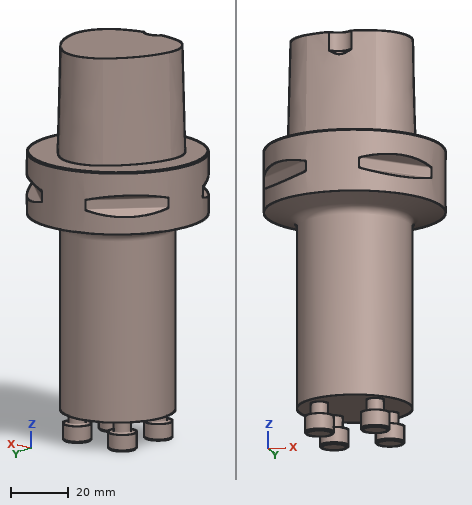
import cadquery as cq
import math


shank_height = 38.0
lobe_tip_radius = 23.5
flat_mid_radius = 20.7
lobe_center_offset = 8.3
taper_ratio = 1 / 40

notch_diameter = 10.0
notch_wall_offset = 17.5
notch_depth = 6.6
notch_point_angle = 106

flange_diameter = 63.0
flange_height = 22.0
flange_chamfer = 0.4
cone_slope = 15
body_diameter = 40.0
body_fillet = 3.0
total_height = 140.5

groove_center_depth = 12.1
groove_floor_offset = 28.0
groove_floor_width = 3.7
groove_corner_fillet = 0.5
groove_wall_angle = 30

screw_spacing = 20.0
screw_shaft_diameter = 6.0
screw_head_diameter = 10.0
screw_head_height = 6.0
screw_head_chamfer = 0.5
screw_shaft_length = 4.6
screw_neck_fillet = 0.4

flange_radius = flange_diameter / 2
body_radius = body_diameter / 2
body_bottom = shank_height + screw_shaft_length + screw_head_height - total_height
diagonal_angles = [45, 135, 225, 315]


def polar(radius, angle):
    """Point at a radius and an angle in degrees around the Z axis."""
    return radius * math.cos(math.radians(angle)), radius * math.sin(math.radians(angle))


def make_shank():
    lobe_radius = lobe_tip_radius - lobe_center_offset
    gap = flat_mid_radius - lobe_radius
    flat_center_offset = (lobe_center_offset**2 - gap**2) / (2 * gap - lobe_center_offset)

    flat_x, flat_y = polar(flat_center_offset, -120)
    line_angle = math.degrees(math.atan2(-flat_y, lobe_center_offset - flat_x))
    reach_x, joint_y = polar(lobe_radius, line_angle)
    joint_x = lobe_center_offset + reach_x
    joint_radius = math.hypot(joint_x, joint_y)
    half_span = math.degrees(math.atan2(joint_y, joint_x))

    first_lobe = 90
    outline = cq.Workplane("XY").moveTo(*polar(joint_radius, first_lobe - half_span))
    for lobe_angle in (first_lobe, first_lobe + 120, first_lobe + 240):
        outline = outline.threePointArc(
            polar(lobe_tip_radius, lobe_angle),
            polar(joint_radius, lobe_angle + half_span),
        ).threePointArc(
            polar(flat_mid_radius, lobe_angle + 60),
            polar(joint_radius, lobe_angle + 120 - half_span),
        )
    taper_angle = math.degrees(math.atan(taper_ratio))
    return outline.close().extrude(shank_height, taper=taper_angle)


def make_notch_cutter():
    """Drill with a conical point, entering from the top of the shank."""
    radius = notch_diameter / 2
    wall_bottom = shank_height - notch_depth
    point_height = radius / math.tan(math.radians(notch_point_angle / 2))
    return (
        cq.Workplane("XZ")
        .moveTo(0, shank_height)
        .lineTo(radius, shank_height)
        .lineTo(radius, wall_bottom)
        .lineTo(0, wall_bottom - point_height)
        .close()
        .revolve(360, (0, 0), (0, 1))
        .translate((0, -(notch_wall_offset + radius), 0))
    )


def make_flange_and_body():
    """Turned profile, with a cone and a fillet from the flange down to the body."""
    slope = math.radians(cone_slope)
    cone_bottom = -flange_height - (flange_radius - body_radius) * math.tan(slope)
    tangent = body_fillet * math.tan((math.pi / 2 - slope) / 2)
    fillet_center_x = body_radius + body_fillet
    fillet_center_z = cone_bottom - tangent
    fillet_mid_angle = 90 + (90 - cone_slope) / 2 + cone_slope
    mid_x, mid_z = polar(body_fillet, fillet_mid_angle)
    return (
        cq.Workplane("XZ")
        .moveTo(0, 0)
        .lineTo(flange_radius - flange_chamfer, 0)
        .lineTo(flange_radius, -flange_chamfer)
        .lineTo(flange_radius, -flange_height)
        .lineTo(body_radius + tangent * math.cos(slope), cone_bottom + tangent * math.sin(slope))
        .threePointArc(
            (fillet_center_x + mid_x, fillet_center_z + mid_z),
            (body_radius, fillet_center_z),
        )
        .lineTo(body_radius, body_bottom)
        .lineTo(0, body_bottom)
        .close()
        .revolve(360, (0, 0), (0, 1))
    )


def make_groove_cutter(angle):
    """Prism of the groove's flared section, lying across the direction at the given angle."""
    depth = flange_radius - groove_floor_offset
    floor_half = groove_floor_width / 2
    mouth_half = floor_half + depth * math.tan(math.radians(groove_wall_angle))
    return (
        cq.Workplane("XZ", origin=(0, 0, -groove_center_depth))
        .moveTo(groove_floor_offset, -floor_half)
        .lineTo(flange_radius, -mouth_half)
        .lineTo(flange_radius, mouth_half)
        .lineTo(groove_floor_offset, floor_half)
        .close()
        .extrude(flange_radius, both=True)
        .edges("|Y and <X")
        .fillet(groove_corner_fillet)
        .rotate((0, 0, 0), (0, 0, 1), angle)
    )


def make_screw(angle):
    distance = screw_spacing / 2 * math.sqrt(2)
    head_top = body_bottom - screw_shaft_length
    head = (
        cq.Workplane("XY", origin=(0, 0, head_top))
        .circle(screw_head_diameter / 2)
        .extrude(-screw_head_height)
        .faces("<Z")
        .chamfer(screw_head_chamfer)
    )
    shaft = (
        cq.Workplane("XY", origin=(0, 0, head_top))
        .circle(screw_shaft_diameter / 2)
        .extrude(screw_shaft_length)
    )
    screw = head.union(shaft)
    neck = screw.edges(cq.selectors.BoxSelector(
        (-screw_shaft_diameter, -screw_shaft_diameter, head_top - screw_neck_fillet),
        (screw_shaft_diameter, screw_shaft_diameter, head_top + screw_neck_fillet),
    )).edges(cq.selectors.RadiusNthSelector(0))
    return neck.fillet(screw_neck_fillet).translate((*polar(distance, angle), 0))


result = make_flange_and_body().union(make_shank()).cut(make_notch_cutter())
for diagonal in diagonal_angles:
    result = result.cut(make_groove_cutter(diagonal)).union(make_screw(diagonal))